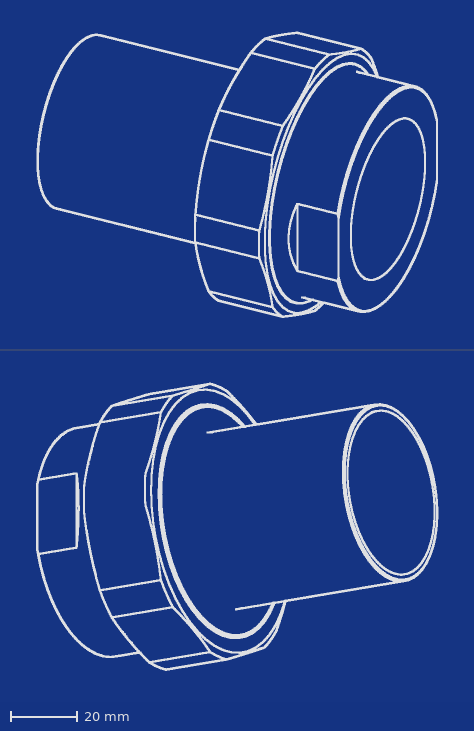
import cadquery as cq
import math


total_length = 105.0
bore_dia = 50.0
joint_x = 70.4
flange_dia = 74.0

tube_dia = 54.0
tube_end_chamfer = 0.4
tube_root_fillet = 0.5
collar_dia = 70.0
collar_face_x = 60.0
collar_chamfer = 0.2

nut_face_x = 60.3
nut_end_x = 83.6
nut_corner_dia = 84.6
nut_across_flats = 81.4
nut_sides = 8
nut_face_dia = 80.2
nut_chamfer_length = 0.8
nut_lip_dia = 70.5
nut_bore_dia = 74.3
nut_lip_thickness = 3.8
nut_lip_chamfer = 0.4
nut_shoulder_x = nut_face_x + nut_lip_thickness

end_body_dia = 70.0
flange_face_x = 83.8
flange_fillet = 1.3
end_chamfer = 0.4
wrench_across_flats = 66.0
wrench_flat_length = 14.0
wrench_flat_x = total_length - wrench_flat_length


def cylinder(diameter, start_x, end_x):
    """Solid cylinder about the X axis."""
    return cq.Workplane("YZ", origin=(start_x, 0, 0)).circle(diameter / 2).extrude(end_x - start_x)


def revolve_about_x(outline):
    """Solid of revolution from an outline in (x, radius)."""
    return outline.close().revolve(360, (0, 0, 0), (1, 0, 0))


def make_tailpiece():
    bore_r = bore_dia / 2
    tube_r = tube_dia / 2
    collar_r = collar_dia / 2
    flange_r = flange_dia / 2
    root_center_x = collar_face_x - tube_root_fillet
    root_center_r = tube_r + tube_root_fillet
    root_mid = (
        root_center_x + tube_root_fillet * math.sqrt(0.5),
        root_center_r - tube_root_fillet * math.sqrt(0.5),
    )
    outline = (
        cq.Workplane("XY")
        .moveTo(0, bore_r)
        .lineTo(0, tube_r - tube_end_chamfer)
        .lineTo(tube_end_chamfer, tube_r)
        .lineTo(root_center_x, tube_r)
        .threePointArc(root_mid, (collar_face_x, root_center_r))
        .lineTo(collar_face_x, collar_r - collar_chamfer)
        .lineTo(collar_face_x + collar_chamfer, collar_r)
        .lineTo(nut_shoulder_x, collar_r)
        .lineTo(nut_shoulder_x, flange_r)
        .lineTo(joint_x, flange_r)
        .lineTo(joint_x, bore_r)
    )
    return revolve_about_x(outline)


def make_nut():
    octagon_dia = nut_across_flats / math.cos(math.pi / nut_sides)
    octagon = (
        cq.Workplane("YZ", origin=(nut_face_x, 0, 0))
        .polygon(nut_sides, octagon_dia)
        .extrude(nut_end_x - nut_face_x)
    )
    face_r = nut_face_dia / 2
    corner_r = nut_corner_dia / 2
    envelope = revolve_about_x(
        cq.Workplane("XY")
        .moveTo(nut_face_x, 0)
        .lineTo(nut_face_x, face_r)
        .lineTo(nut_face_x + nut_chamfer_length, corner_r)
        .lineTo(nut_end_x - nut_chamfer_length, corner_r)
        .lineTo(nut_end_x, face_r)
        .lineTo(nut_end_x, 0)
    )
    lip_hole = cylinder(nut_lip_dia, nut_face_x, nut_end_x)
    main_bore = cylinder(nut_bore_dia, nut_shoulder_x, nut_end_x)
    lip_r = nut_lip_dia / 2
    lip_mouth = revolve_about_x(
        cq.Workplane("XY")
        .moveTo(nut_face_x, 0)
        .lineTo(nut_face_x, lip_r + nut_lip_chamfer)
        .lineTo(nut_face_x + nut_lip_chamfer, lip_r)
        .lineTo(nut_face_x + nut_lip_chamfer, 0)
    )
    return octagon.intersect(envelope).cut(lip_hole).cut(lip_mouth).cut(main_bore)


def wrench_flat_cutter(side):
    """Cutter for one flat with a 45 degree run-out; side is +1 or -1 along Y."""
    flat_y = wrench_across_flats / 2
    depth = end_body_dia / 2 - flat_y
    return (
        cq.Workplane("XY", origin=(0, 0, -end_body_dia / 2))
        .moveTo(wrench_flat_x, side * flat_y)
        .lineTo(total_length, side * flat_y)
        .lineTo(total_length, side * (flat_y + depth))
        .lineTo(wrench_flat_x - depth, side * (flat_y + depth))
        .close()
        .extrude(end_body_dia)
    )


def make_end_body():
    bore_r = bore_dia / 2
    body_r = end_body_dia / 2
    flange_r = flange_dia / 2
    fillet_center_x = flange_face_x + flange_fillet
    fillet_center_r = body_r + flange_fillet
    fillet_mid = (
        fillet_center_x - flange_fillet * math.sqrt(0.5),
        fillet_center_r - flange_fillet * math.sqrt(0.5),
    )
    body = revolve_about_x(
        cq.Workplane("XY")
        .moveTo(joint_x, bore_r)
        .lineTo(joint_x, flange_r)
        .lineTo(flange_face_x, flange_r)
        .lineTo(flange_face_x, fillet_center_r)
        .threePointArc(fillet_mid, (fillet_center_x, body_r))
        .lineTo(total_length - end_chamfer, body_r)
        .lineTo(total_length, body_r - end_chamfer)
        .lineTo(total_length, bore_r)
    )
    for side in (-1, 1):
        body = body.cut(wrench_flat_cutter(side))
    return body


tailpiece = make_tailpiece()
nut = make_nut()
end_body = make_end_body()

result = cq.Compound.makeCompound([body.solids().val() for body in (tailpiece, nut, end_body)])